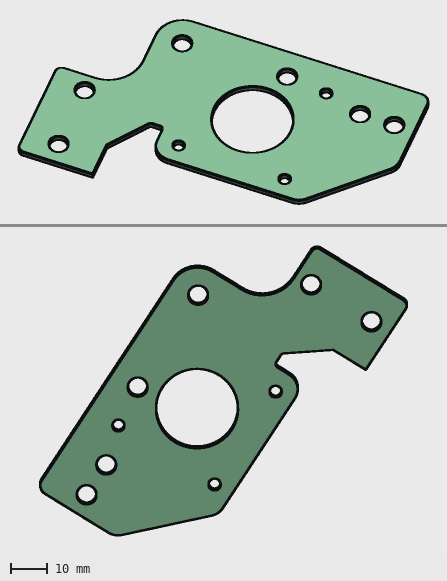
import cadquery as cq

length = 98.8
width = 58.1
thickness = 2.0
edge_chamfer = 0.3

foot_width = 22.4
foot_top = 30.7
foot_side_height = 10.6
foot_corner_radius = 2.0

body_left = 21.1
body_bottom = 12.0
body_slope_rise = 20.7
body_top_left_radius = 8.0
body_top_right_radius = 3.0
body_lower_radius = 5.0
inner_corner_radius = 10.0

notch_left = 30.7
notch_right = 34.4
notch_top = 21.7
notch_radius = 1.0

motor_x = 56.1
motor_y = 33.1
motor_bore = 22.0
motor_screw_pitch = 31.0
motor_screw_diameter = 3.0

mount_diameter = 5.0
foot_hole_x = 10.0
foot_hole_y = 6.1
foot_hole_pitch = 19.5
top_hole_x = 29.0
top_hole_y = 50.0
top_hole_pitch = 30.7
right_hole_x = 82.8
right_hole_y = 45.5
right_hole_pitch = 10.0


def make_blank():
    """Extrude the outline, then round its corners."""
    slope_start = (length - body_slope_rise, body_bottom)
    slope_end = (length, body_bottom + body_slope_rise)

    corners = [
        ((0, 0), foot_corner_radius),
        ((foot_width, 0), 0),
        ((foot_width, foot_side_height), 0),
        ((notch_left, notch_top), notch_radius),
        ((notch_right, notch_top), notch_radius),
        ((notch_right, body_bottom), body_lower_radius),
        (slope_start, body_lower_radius),
        (slope_end, body_lower_radius),
        ((length, width), body_top_right_radius),
        ((body_left, width), body_top_left_radius),
        ((body_left, foot_top), inner_corner_radius),
        ((0, foot_top), foot_corner_radius),
    ]
    outline = [point for point, _ in corners]
    blank = cq.Workplane("XY").polyline(outline).close().extrude(thickness)
    for (x, y), radius in corners:
        if radius > 0:
            corner_edge = cq.selectors.NearestToPointSelector((x, y, thickness / 2))
            blank = blank.edges("|Z").edges(corner_edge).fillet(radius)
    return blank


def drill(body, points, diameter):
    """Cut through holes of one diameter at the given points."""
    drills = cq.Workplane("XY").pushPoints(points).circle(diameter / 2).extrude(thickness)
    return body.cut(drills)


half_pitch = motor_screw_pitch / 2
motor_screws = [
    (motor_x - half_pitch, motor_y - half_pitch),
    (motor_x + half_pitch, motor_y - half_pitch),
    (motor_x + half_pitch, motor_y + half_pitch),
]
mount_holes = [
    (foot_hole_x, foot_hole_y),
    (foot_hole_x, foot_hole_y + foot_hole_pitch),
    (top_hole_x, top_hole_y),
    (top_hole_x + top_hole_pitch, top_hole_y),
    (right_hole_x, right_hole_y),
    (right_hole_x + right_hole_pitch, right_hole_y),
]

plate = make_blank()
plate = drill(plate, [(motor_x, motor_y)], motor_bore)
plate = drill(plate, motor_screws, motor_screw_diameter)
plate = drill(plate, mount_holes, mount_diameter)

result = plate.faces("<Z or >Z").edges().chamfer(edge_chamfer)